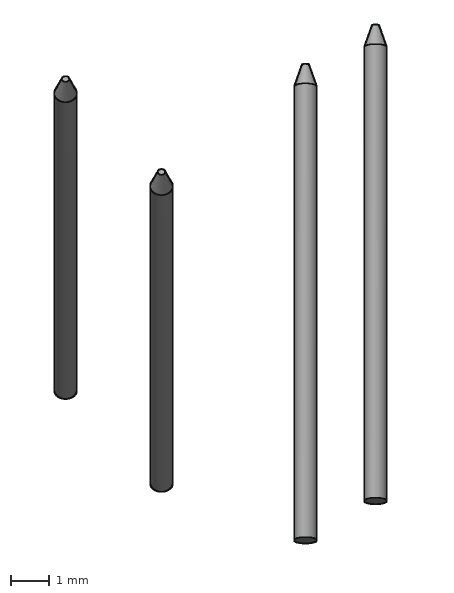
import cadquery as cq

pin_length = 13.0
pin_diameter = 0.6
pin_spacing = 4.0
tip_length = 0.6
tip_diameter = 0.2

shank_length = pin_length - tip_length


def make_pin(x_center):
    """Round upright pin with a flat-ended conical tip on top."""
    pin_radius = pin_diameter / 2
    tip_radius = tip_diameter / 2
    profile = (
        cq.Workplane("XZ")
        .moveTo(0, 0)
        .lineTo(pin_radius, 0)
        .lineTo(pin_radius, shank_length)
        .lineTo(tip_radius, pin_length)
        .lineTo(0, pin_length)
        .close()
    )
    pin = profile.revolve(360, (0, 0, 0), (0, 1, 0))
    return pin.translate((x_center, 0, 0))


pins = []
for side in (-1, 1):
    pins.append(make_pin(side * pin_spacing / 2).val())

result = cq.Compound.makeCompound(pins)